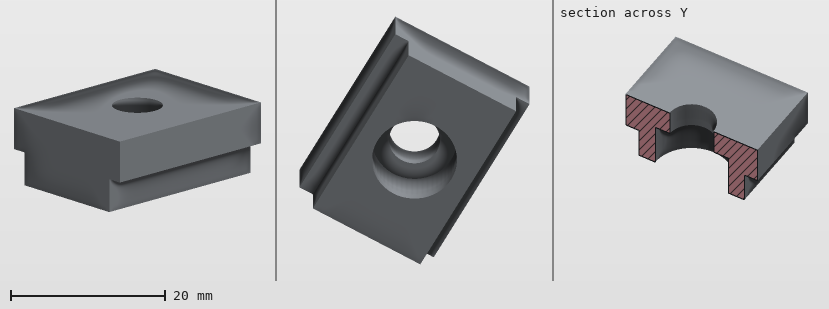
import cadquery as cq

width = 20.0
length = 25.0
height = 10.0

stem_width = 16.0
stem_height = 4.45
head_height = height - stem_height

hole_diameter = 6.6
counterbore_diameter = 11.0
counterbore_depth = 6.25

stem = cq.Workplane("XY").box(stem_width, length, stem_height, centered=(True, True, False))
head = (
    cq.Workplane("XY")
    .workplane(offset=stem_height)
    .box(width, length, head_height, centered=(True, True, False))
)

hole = cq.Workplane("XY").circle(hole_diameter / 2).extrude(height)
counterbore = cq.Workplane("XY").circle(counterbore_diameter / 2).extrude(counterbore_depth)

result = stem.union(head).cut(hole).cut(counterbore)